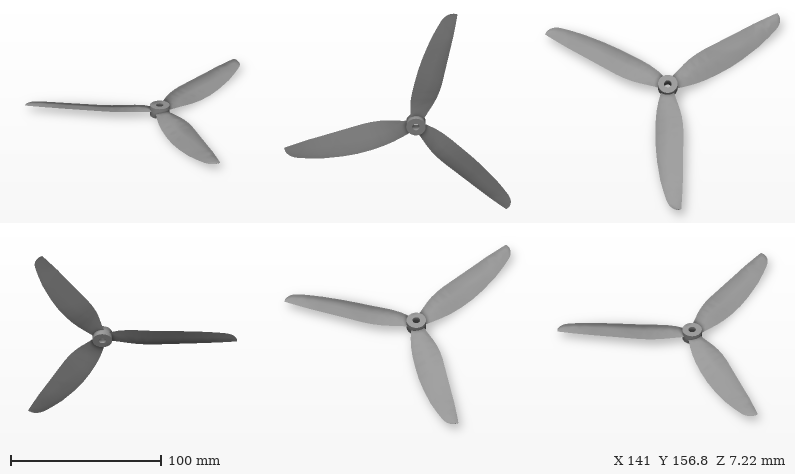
import cadquery as cq

HUB_DIAMETER = 13.0
HUB_HEIGHT = 7.2
BORE_DIAMETER = 5.0

BLADE_COUNT = 3
UPPER_BULGE = 0.5
LOWER_BULGE = 0.1

BLADE_SECTIONS = [
    (3.5, 4.2, 4.0, -4.2, 3.1),
    (14.6, 7.0, 4.4, -7.2, 2.7),
    (23.5, 9.3, 4.7, -8.3, 1.4),
    (33.0, 10.0, 4.7, -8.6, 0.3),
    (44.4, 9.9, 4.7, -8.5, 0.0),
    (53.8, 9.5, 4.5, -7.7, 0.3),
    (64.2, 9.3, 4.4, -6.3, 1.0),
    (75.6, 9.0, 4.4, -3.8, 2.2),
    (82.2, 8.5, 4.2, -1.9, 3.0),
    (86.9, 8.2, 4.2, 0.6, 3.5),
    (89.5, 7.8, 4.1, 4.9, 3.8),
]
FULL_CHORD = 6.0


def blade_section(station, lead_y, lead_z, trail_y, trail_z):
    """Closed cambered section in the plane X = station, bounded by two arcs."""
    thinning = min(1.5, (lead_y - trail_y) / FULL_CHORD)
    mid_y = (lead_y + trail_y) / 2
    mid_z = (lead_z + trail_z) / 2
    upper_z = mid_z + UPPER_BULGE * thinning
    lower_z = mid_z + LOWER_BULGE * thinning
    outline = (
        cq.Workplane("YZ", origin=(station, 0, 0))
        .moveTo(lead_y, lead_z)
        .threePointArc((mid_y, upper_z), (trail_y, trail_z))
        .threePointArc((mid_y, lower_z), (lead_y, lead_z))
    )
    return outline.wire().val()


def make_blade():
    """Twisted blade along +X, lofted smoothly through its sections."""
    wires = [blade_section(*section) for section in BLADE_SECTIONS]
    return cq.Workplane(cq.Solid.makeLoft(wires))


def make_propeller():
    """Hub with equally spaced blades and a through bore."""
    propeller = cq.Workplane("XY").circle(HUB_DIAMETER / 2).extrude(HUB_HEIGHT)
    blade = make_blade()
    for index in range(BLADE_COUNT):
        angle = index * 360 / BLADE_COUNT
        propeller = propeller.union(blade.rotate((0, 0, 0), (0, 0, 1), angle))
    bore = cq.Workplane("XY").circle(BORE_DIAMETER / 2).extrude(HUB_HEIGHT)
    return propeller.cut(bore)


result = make_propeller()